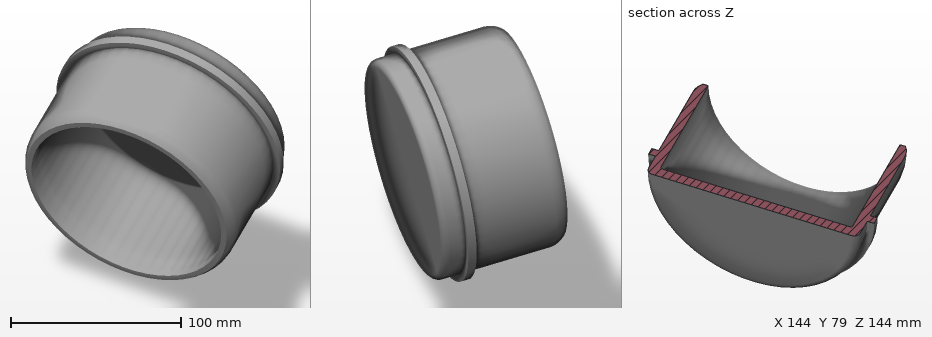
import cadquery as cq
import math

length = 79.0
body_radius = 135.2 / 2
flange_radius = 144 / 2
flange_thickness = 5.2
flange_setback = 14.3
closed_end_fillet = 4.0

rim_length = 8.0
lip_radius = 64.5
bore_radius = 122.0 / 2

floor_thickness = 6.6
floor_fillet = 1.2

open_y = -length / 2
closed_y = length / 2
flange_back_y = closed_y - flange_setback
flange_front_y = flange_back_y - flange_thickness
floor_y = closed_y - floor_thickness

rim_start_y = open_y + rim_length
rim_inset = body_radius - lip_radius
rim_arc_radius = (rim_length**2 + rim_inset**2) / (2 * rim_inset)
rim_half_angle = math.asin(rim_length / rim_arc_radius) / 2
rim_middle = (
    body_radius - rim_arc_radius * (1 - math.cos(rim_half_angle)),
    rim_start_y - rim_arc_radius * math.sin(rim_half_angle),
)


def make_body():
    """Solid of revolution with the curved rim and the rounded closed end."""
    profile = (
        cq.Workplane("XY")
        .moveTo(0, open_y)
        .lineTo(lip_radius, open_y)
        .threePointArc(rim_middle, (body_radius, rim_start_y))
        .lineTo(body_radius, closed_y)
        .lineTo(0, closed_y)
        .close()
    )
    body = profile.revolve(360, (0, 0, 0), (0, 1, 0))
    return body.faces(">Y").edges().fillet(closed_end_fillet)


def make_cylinder(radius, start_y, end_y):
    """Cylinder on the Y axis between two positions."""
    plane = cq.Workplane("XZ", origin=(0, start_y, 0))
    return plane.circle(radius).extrude(start_y - end_y)


flange = make_cylinder(flange_radius, flange_front_y, flange_back_y)
bore = make_cylinder(bore_radius, open_y, floor_y).faces(">Y").edges().fillet(floor_fillet)

result = make_body().union(flange).cut(bore)